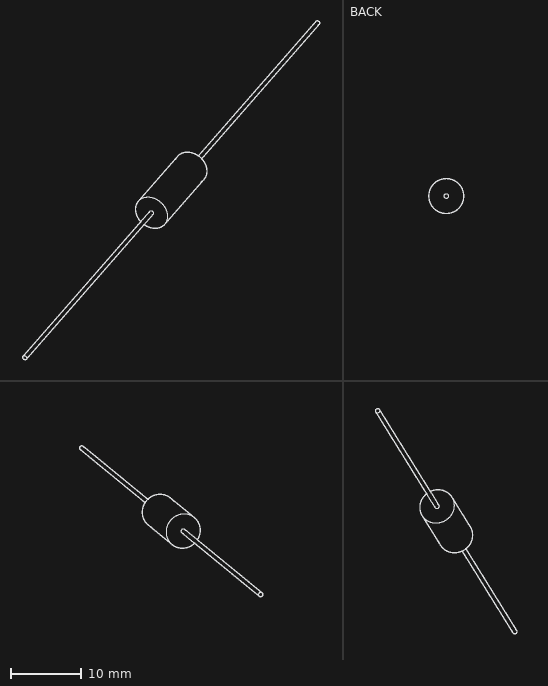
import cadquery as cq

body_diameter = 5.0
body_length = 14.0
lead_diameter = 0.65
lead_length = 45.0

overall_length = body_length + 2 * lead_length


def cylinder_along_y(diameter, length):
    """Solid cylinder on the Y axis, centred on the origin."""
    start_end = cq.Workplane("XZ", origin=(0, length / 2, 0))
    return start_end.circle(diameter / 2).extrude(length)


body = cylinder_along_y(body_diameter, body_length)
leads = cylinder_along_y(lead_diameter, overall_length)

result = body.union(leads)